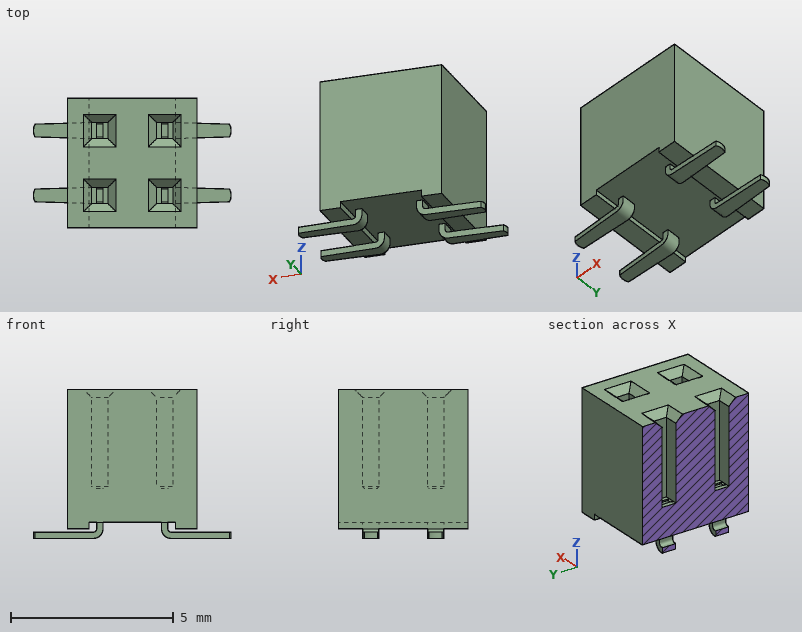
import cadquery as cq
import math

lead_span = 6.1
housing_side = 4.0
total_height = 4.6
pitch = housing_side / 2

standoff = 0.3
notch_height = 0.2
rail_width = 0.67
notch_ceiling = standoff + notch_height

mouth_side = 1.0
pin_hole_side = 0.5
funnel_depth = (mouth_side - pin_hole_side) / 2
pin_hole_depth = 3.0
slot_floor_length = 0.4
slot_depth = (pin_hole_side - slot_floor_length) / 2

strip_thickness = 0.2
strip_width = 0.5
tip_width = 0.4
tip_bulge = 0.05
inner_bend_radius = 0.1
outer_bend_radius = inner_bend_radius + strip_thickness

socket_centres = [(x, y) for x in (-pitch / 2, pitch / 2) for y in (-pitch / 2, pitch / 2)]


def make_housing():
    """Block with a notch through Y that leaves a standing rail along each X side."""
    block = cq.Workplane("XY").workplane(offset=standoff).rect(housing_side, housing_side)
    block = block.extrude(total_height - standoff)
    notch = cq.Workplane("XY").workplane(offset=standoff)
    notch = notch.rect(housing_side - 2 * rail_width, housing_side).extrude(notch_height)
    return block.cut(notch)


def make_socket_cutter():
    """Socket cavity on the Z axis, opening at the top of the housing."""
    funnel = (
        cq.Workplane("XY").workplane(offset=total_height)
        .rect(mouth_side, mouth_side)
        .workplane(offset=-funnel_depth)
        .rect(pin_hole_side, pin_hole_side)
        .loft(ruled=True)
    )
    hole_floor = total_height - pin_hole_depth
    pin_hole = cq.Workplane("XY").workplane(offset=hole_floor).rect(pin_hole_side, pin_hole_side)
    pin_hole = pin_hole.extrude(pin_hole_depth - funnel_depth)
    slot = (
        cq.Workplane("YZ").workplane(offset=-strip_thickness / 2)
        .moveTo(-pin_hole_side / 2, hole_floor)
        .lineTo(pin_hole_side / 2, hole_floor)
        .lineTo(slot_floor_length / 2, hole_floor - slot_depth)
        .lineTo(-slot_floor_length / 2, hole_floor - slot_depth)
        .close()
        .extrude(strip_thickness)
    )
    return funnel.union(pin_hole).union(slot)


def make_lead():
    """Lead pointing toward +X, centred on Y = 0: upright stem, bend and tapered foot."""
    stem_inside = pitch / 2 - strip_thickness / 2
    stem_outside = stem_inside + strip_thickness
    bend_centre_x = stem_outside + inner_bend_radius
    bend_centre_z = outer_bend_radius
    tip_x = lead_span / 2
    diagonal = math.sqrt(0.5)

    side_profile = (
        cq.Workplane("XZ").workplane(offset=-strip_width / 2)
        .moveTo(stem_inside, notch_ceiling)
        .lineTo(stem_inside, bend_centre_z)
        .threePointArc(
            (bend_centre_x - outer_bend_radius * diagonal, bend_centre_z - outer_bend_radius * diagonal),
            (bend_centre_x, 0),
        )
        .lineTo(tip_x, 0)
        .lineTo(tip_x, strip_thickness)
        .lineTo(bend_centre_x, strip_thickness)
        .threePointArc(
            (bend_centre_x - inner_bend_radius * diagonal, bend_centre_z - inner_bend_radius * diagonal),
            (stem_outside, bend_centre_z),
        )
        .lineTo(stem_outside, notch_ceiling)
        .close()
    )
    bent_strip = side_profile.extrude(strip_width)

    plan_outline = (
        cq.Workplane("XY")
        .moveTo(stem_inside, -strip_width / 2)
        .lineTo(bend_centre_x, -strip_width / 2)
        .lineTo(tip_x - tip_bulge, -tip_width / 2)
        .threePointArc((tip_x, 0), (tip_x - tip_bulge, tip_width / 2))
        .lineTo(bend_centre_x, strip_width / 2)
        .lineTo(stem_inside, strip_width / 2)
        .close()
    )
    return bent_strip.intersect(plan_outline.extrude(notch_ceiling))


result = make_housing()
socket_cutter = make_socket_cutter()
right_lead = make_lead()
left_lead = right_lead.mirror("YZ")

for x, y in socket_centres:
    lead = right_lead if x > 0 else left_lead
    result = result.cut(socket_cutter.translate((x, y, 0)))
    result = result.union(lead.translate((0, y, 0)))